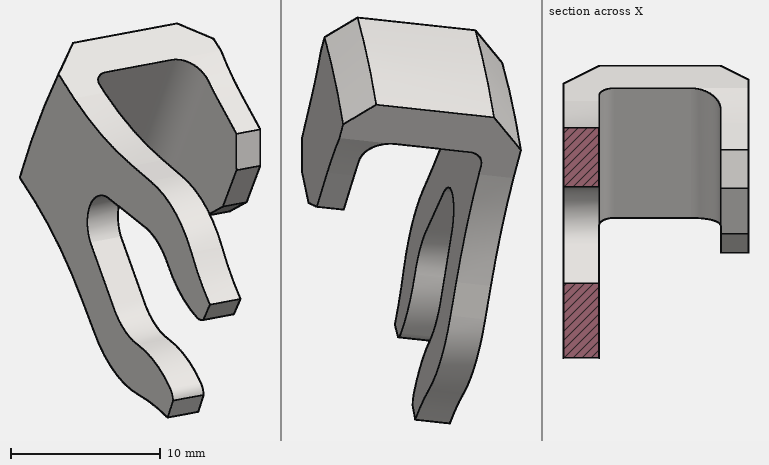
import cadquery as cq

tilt = 30.0

depth = 12.4
fork_thickness = 2.4
tab_thickness = 1.87
split_y = depth / 2

web_thickness = 3.02
half_width = 5.02
base_bulge = 0.21
fork_corner_radius = 1.0
tab_corner_radius = 2.0

fork_length = 24.77
tip_outer = 5.47
tip_inner = 3.9
tip_setback = 0.08

tab_neck_x = 6.4
tab_neck_half_width = 4.3
tab_shoulder_x = 9.47
tab_shoulder_half_width = 3.98
tab_length = 10.75
tab_end_half_width = 1.75
neck_sag = 0.09
neck_mid_x = (web_thickness + tab_neck_x) / 2
neck_mid_half_width = (half_width + tab_neck_half_width) / 2 - neck_sag

prong_edge = [
    [(4.72, half_width)],
    [(8.67, 5.45), (12.6, 6.5)],
    [(14.8, 7.29)],
    [(17.88, 7.8), (21.2, 6.89)],
    [(22.82, 6.1), (fork_length, tip_outer)],
    [(fork_length - tip_setback, tip_inner)],
    [(24.45, 3.65), (24.02, 3.45)],
    [(21.89, 3.28), (19.43, 3.87)],
    [(17.62, 4.27), (15.61, 3.85)],
    [(11.35, 2.2)],
]
slot_bottom_x = 10.0

tab_edge = [
    [(web_thickness, half_width)],
    [(neck_mid_x, neck_mid_half_width), (tab_neck_x, tab_neck_half_width)],
    [(tab_shoulder_x, tab_shoulder_half_width)],
    [(tab_length, tab_end_half_width)],
]


def add_stretch(sketch, points):
    """Draw one straight or arc stretch to the last of its points."""
    if len(points) == 1:
        return sketch.lineTo(*points[0])
    return sketch.threePointArc(*points)


def mirrored_stretches(edge):
    """Return the stretches of the lower edge, running from the end back to the web."""
    starts = [(0, half_width)] + [stretch[-1] for stretch in edge[:-1]]
    lower = []
    for start, stretch in zip(reversed(starts), reversed(edge)):
        points = stretch[:-1] + [start]
        lower.append([(x, -z) for x, z in points])
    return lower


def symmetric_plate(edge, end_stretch, y_start, y_end):
    """Extrude a symmetric outline with the bulged base between two Y positions."""
    sketch = cq.Workplane("XZ", origin=(0, y_start, 0)).moveTo(0, half_width)
    for stretch in edge + [end_stretch] + mirrored_stretches(edge):
        sketch = add_stretch(sketch, stretch)
    sketch = sketch.threePointArc((-base_bulge, 0), (0, half_width)).close()
    return sketch.extrude(y_start - y_end)


def mirrored_end(edge):
    """Return the lower counterpart of the point where an edge ends."""
    x, z = edge[-1][-1]
    return (x, -z)


def window():
    """Space between the fork and the tab, rounded where it meets the web."""
    gap = depth - fork_thickness - tab_thickness
    block = cq.Workplane("XY").box(
        fork_length, gap, 4 * half_width, centered=(False, False, True)
    )
    block = block.translate((web_thickness, fork_thickness, 0))
    block = block.edges("|Z and <X and <Y").fillet(fork_corner_radius)
    return block.edges("|Z and <X and >Y").fillet(tab_corner_radius)


fork = symmetric_plate(
    prong_edge, [(slot_bottom_x, 0), mirrored_end(prong_edge)], 0, split_y
)
tab = symmetric_plate(tab_edge, [mirrored_end(tab_edge)], split_y, depth)
body = fork.union(tab).cut(window()).clean()

body = body.faces("<X").edges("%CIRCLE").edges("<Y").chamfer(fork_thickness)
body = body.faces("<X").edges("%CIRCLE").edges(">Y").chamfer(tab_thickness)

result = body.rotate((0, 0, 0), (0, 1, 0), tilt)